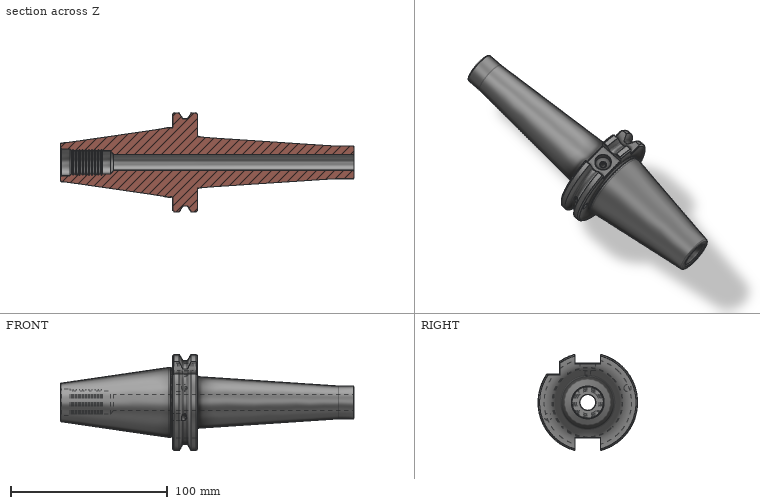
import cadquery as cq
import math

TAPER_RATIO = 7 / 24
LARGE_END_RADIUS = 44.6 / 2
TAPER_LENGTH = 69.0
TOTAL_LENGTH = 187.4
SMALL_END_FILLET = 1.0
RELIEF_START = 1.1
RELIEF_DEPTH = 0.3

FLANGE_RADIUS = 63.55 / 2
FLANGE_START = 2.6
FLANGE_END = 18.5
FLANGE_ROOT_FILLET = 0.8
FLANGE_CHAMFER = 1.0
CUT_CLEARANCE = 1.0
OUTSIDE = FLANGE_RADIUS + CUT_CLEARANCE

GROOVE_CENTER = 10.6
GROOVE_HALF_ANGLE = math.radians(30)
GROOVE_FLOOR_RADIUS = 27.9
GROOVE_FLOOR_WIDTH = 3.1
GROOVE_FILLET = 1.0

SLOT_WIDTH = 16.1
TOP_SLOT_FLOOR = 25.0
BOTTOM_SLOT_FLOOR = 22.8
NOTCH_SIDE = 18.1
NOTCH_FLOOR = 18.1
CUT_CHAMFER = 0.5
SLOT_MOUTH_CHAMFER = 0.435

POCKET_DIAMETER = 10.0
POCKET_DEPTH = 4.6
POCKET_CHAMFER = 0.3
PILOT_DIAMETER = 3.4
PILOT_CHAMFER = 0.5
PILOT_DEPTH = 3.0

COOLANT_DIAMETER = 4.6
COOLANT_CIRCLE_RADIUS = 27.0
COOLANT_ANGLE = 20.0
COOLANT_DEPTH = GROOVE_CENTER - FLANGE_START

DRILL_POINT_HALF_ANGLE = math.radians(59)

SHANK_RADIUS = 16.5
NOSE_RADIUS = 10.5
NOSE_LENGTH = 10.0
NOSE_CHAMFER = 0.5

BORE_RADIUS = 5.0
THREAD_RADIUS = 7.3
THREAD_ROOT_RADIUS = 8.2
THREAD_PITCH = 2.0
THREAD_TURNS = 10
THREAD_HALF_ANGLE = math.radians(30)
THREAD_END_DEPTH = 32.0
COUNTERBORE_RADIUS = 8.5
COUNTERBORE_DEPTH = 6.0
BORE_MOUTH_CHAMFER = 0.8
BORE_CONE_LENGTH = 2.0

SMALL_END = -TAPER_LENGTH
NOSE_END = SMALL_END + TOTAL_LENGTH
SMALL_END_RADIUS = LARGE_END_RADIUS - TAPER_LENGTH * TAPER_RATIO / 2


def revolve_about_x(points):
    """Revolve a closed outline of (x, radius) points about the X axis."""
    return cq.Workplane("XZ").polyline(points).close().revolve(360, (0, 0, 0), (1, 0, 0))


def round_circle(body, x, radius, fillet):
    """Fillet the circular edge of the given radius about the X axis at position x."""
    tolerance = 1e-3
    circles = [
        edge
        for edge in body.edges("%CIRCLE").vals()
        if abs(edge.Center().x - x) < tolerance and abs(edge.radius() - radius) < tolerance
    ]
    return body.newObject(circles).fillet(fillet)


def make_body():
    """Taper, flange, shank and nose as one solid of revolution."""
    relief_radius = LARGE_END_RADIUS - RELIEF_DEPTH
    body = revolve_about_x([
        (SMALL_END, 0),
        (SMALL_END, SMALL_END_RADIUS),
        (0, LARGE_END_RADIUS),
        (RELIEF_START, LARGE_END_RADIUS),
        (RELIEF_START + RELIEF_DEPTH, relief_radius),
        (FLANGE_START, relief_radius),
        (FLANGE_START, FLANGE_RADIUS - FLANGE_CHAMFER),
        (FLANGE_START + FLANGE_CHAMFER, FLANGE_RADIUS),
        (FLANGE_END - FLANGE_CHAMFER, FLANGE_RADIUS),
        (FLANGE_END, FLANGE_RADIUS - FLANGE_CHAMFER),
        (FLANGE_END, SHANK_RADIUS),
        (NOSE_END - NOSE_LENGTH, NOSE_RADIUS),
        (NOSE_END - NOSE_CHAMFER, NOSE_RADIUS),
        (NOSE_END, NOSE_RADIUS - NOSE_CHAMFER),
        (NOSE_END, 0),
    ])
    body = round_circle(body, FLANGE_START, relief_radius, FLANGE_ROOT_FILLET)
    body = round_circle(body, FLANGE_END, SHANK_RADIUS, FLANGE_ROOT_FILLET)
    return round_circle(body, SMALL_END, SMALL_END_RADIUS, SMALL_END_FILLET)


def make_groove():
    """Ring that cuts the V-groove."""
    half_floor = GROOVE_FLOOR_WIDTH / 2
    half_mouth = half_floor + (OUTSIDE - GROOVE_FLOOR_RADIUS) * math.tan(GROOVE_HALF_ANGLE)
    groove = revolve_about_x([
        (GROOVE_CENTER - half_mouth, OUTSIDE),
        (GROOVE_CENTER - half_floor, GROOVE_FLOOR_RADIUS),
        (GROOVE_CENTER + half_floor, GROOVE_FLOOR_RADIUS),
        (GROOVE_CENTER + half_mouth, OUTSIDE),
    ])
    floor_edges = cq.selectors.RadiusNthSelector(0)
    return groove.edges("%CIRCLE").edges(floor_edges).fillet(GROOVE_FILLET)


def flange_cut(y_min, y_max, z_min, z_max, wall_chamfer):
    """Box across the flange whose rims flare out at both flange faces.

    The floor rims flare by CUT_CHAMFER and the side wall rims by wall_chamfer.
    """
    size_y = y_max - y_min
    size_z = z_max - z_min

    def frame(x):
        return cq.Workplane("YZ", origin=(x, (y_min + y_max) / 2, (z_min + z_max) / 2))

    cut = frame(FLANGE_START).rect(size_y, size_z).extrude(FLANGE_END - FLANGE_START)
    for face_x, inward in ((FLANGE_START, 1), (FLANGE_END, -1)):
        flare = (
            frame(face_x)
            .rect(size_y + 2 * wall_chamfer, size_z + 2 * CUT_CHAMFER)
            .workplane(offset=inward * CUT_CHAMFER)
            .rect(size_y, size_z)
            .loft(ruled=True)
        )
        cut = cut.union(flare)
    return cut


def make_slot(side, floor):
    """Driving slot at the top (side = 1) or the bottom (side = -1) with chamfered mouth edges."""
    half_width = SLOT_WIDTH / 2
    half_mouth = half_width + SLOT_MOUTH_CHAMFER
    mouth_start = math.sqrt(FLANGE_RADIUS**2 - half_mouth**2) - SLOT_MOUTH_CHAMFER
    flare = OUTSIDE - mouth_start
    z_limits = sorted((side * floor, side * OUTSIDE))
    slot = flange_cut(-half_width, half_width, *z_limits, wall_chamfer=0)
    mouth_outline = [
        (-half_width, side * mouth_start),
        (half_width, side * mouth_start),
        (half_width + flare, side * OUTSIDE),
        (-half_width - flare, side * OUTSIDE),
    ]
    frame = cq.Workplane("YZ", origin=(FLANGE_START, 0, 0))
    mouth = frame.polyline(mouth_outline).close().extrude(FLANGE_END - FLANGE_START)
    return slot.union(mouth)


def make_notch():
    """Orientation notch in one shoulder of the top slot."""
    return flange_cut(-OUTSIDE, -NOTCH_SIDE, NOTCH_FLOOR, OUTSIDE, wall_chamfer=CUT_CHAMFER)


def drilled_hole(diameter, depth, start, direction):
    """Blind hole with a conical drill point beyond its full-diameter depth."""
    radius = diameter / 2
    point_length = radius / math.tan(DRILL_POINT_HALF_ANGLE)
    hole = cq.Solid.makeCylinder(radius, depth, start, direction)
    tip = cq.Solid.makeCone(radius, 0, point_length, start + direction * depth, direction)
    return hole.fuse(tip)


def hole_chamfer(diameter, chamfer, start, direction):
    """Cone that breaks the mouth edge of a hole."""
    radius = diameter / 2
    return cq.Solid.makeCone(radius + chamfer, radius, chamfer, start, direction)


def make_slot_pocket():
    """Pocket and chamfered pilot hole, drilled down from the top slot floor."""
    down = cq.Vector(0, 0, -1)
    top = cq.Vector(GROOVE_CENTER, 0, TOP_SLOT_FLOOR)
    pocket = cq.Solid.makeCylinder(POCKET_DIAMETER / 2, POCKET_DEPTH, top, down)
    pilot_start = top + down * POCKET_DEPTH
    pilot = drilled_hole(PILOT_DIAMETER, PILOT_DEPTH, pilot_start, down)
    pocket_mouth = hole_chamfer(POCKET_DIAMETER, POCKET_CHAMFER, top, down)
    pilot_mouth = hole_chamfer(PILOT_DIAMETER, PILOT_CHAMFER, pilot_start, down)
    return pocket.fuse(pilot, pocket_mouth, pilot_mouth)


def make_coolant_hole(side):
    """Coolant hole on the +Y (side = 1) or the opposite (side = -1) half of the flange."""
    angle = math.radians(COOLANT_ANGLE)
    y = side * COOLANT_CIRCLE_RADIUS * math.cos(angle)
    z = side * COOLANT_CIRCLE_RADIUS * math.sin(angle)
    start = cq.Vector(FLANGE_START, y, z)
    return drilled_hole(COOLANT_DIAMETER, COOLANT_DEPTH, start, cq.Vector(1, 0, 0))


def make_bore():
    """Through bore with a counterbore and a thread made of separate V-shaped rings."""
    counterbore_end = SMALL_END + COUNTERBORE_DEPTH
    thread_end = SMALL_END + THREAD_END_DEPTH
    step = COUNTERBORE_RADIUS - THREAD_RADIUS
    bore = revolve_about_x([
        (SMALL_END, 0),
        (SMALL_END, COUNTERBORE_RADIUS + BORE_MOUTH_CHAMFER),
        (SMALL_END + BORE_MOUTH_CHAMFER, COUNTERBORE_RADIUS),
        (counterbore_end, COUNTERBORE_RADIUS),
        (counterbore_end + step, THREAD_RADIUS),
        (thread_end, THREAD_RADIUS),
        (thread_end + BORE_CONE_LENGTH, BORE_RADIUS),
        (NOSE_END, BORE_RADIUS),
        (NOSE_END, 0),
    ])
    half_width = (THREAD_ROOT_RADIUS - THREAD_RADIUS) * math.tan(THREAD_HALF_ANGLE)
    for turn in range(THREAD_TURNS):
        x = counterbore_end + step + (turn + 0.5) * THREAD_PITCH
        ring = revolve_about_x([
            (x - half_width, 0),
            (x - half_width, THREAD_RADIUS),
            (x, THREAD_ROOT_RADIUS),
            (x + half_width, THREAD_RADIUS),
            (x + half_width, 0),
        ])
        bore = bore.union(ring)
    return bore


result = make_body().cut(make_groove()).cut(make_bore())
for side, floor in ((1, TOP_SLOT_FLOOR), (-1, BOTTOM_SLOT_FLOOR)):
    result = result.cut(make_slot(side, floor))
result = result.cut(make_notch())
result = result.cut(make_slot_pocket())
for side in (1, -1):
    result = result.cut(make_coolant_hole(side))